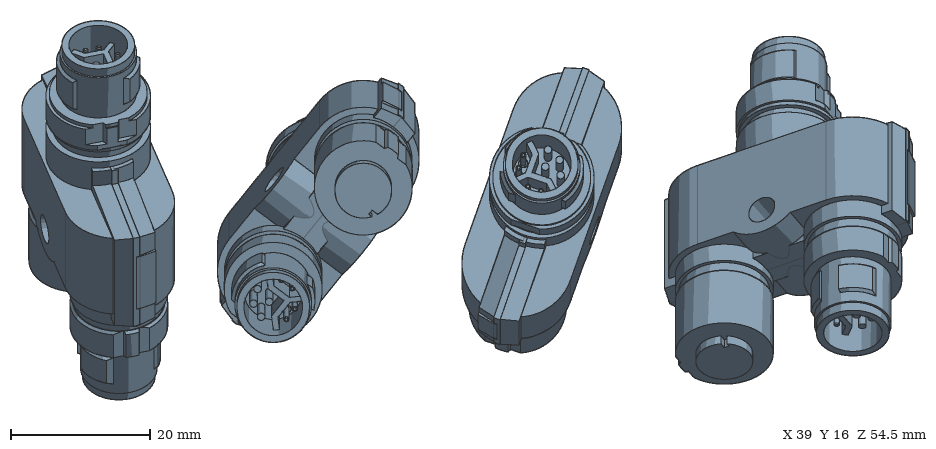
import cadquery as cq
import math

CONNECTOR_X = 10.5
HOUSING_HALF_DEPTH = 8.0
HOUSING_BOTTOM = 18.85
HOUSING_TOP = 33.35

HOLE_RADIUS = 2.1
HOLE_Z = 21.15
LOBE_RADIUS = 7.1
LOBE_BOTTOM = 17.1

FLANGE_HALF_DEPTH = 3.05
FLANGE_HALF_WIDTH = 19.45
FLANGE_BOTTOM = 17.0
FLANGE_END_Z = 33.95
FLANGE_ROOT_X = 7.35
FLANGE_ROOT_Z = 35.05
FLANGE_END_DRAFT = 0.8
FLANGE_EDGE_DRAFT = 0.3
COLLAR_RADIUS = 8.2
COLLAR_TOP = 37.6
COLLAR_TOP_RISE = 0.15
RIB_FRONT = -0.45
RIB_BACK = 0.55
RIB_RAISE = 0.1
RIB_COLLAR_REACH = 8.45
PAD_HALF_WIDTH = 19.5
PAD_BOTTOM = 20.4
PAD_TOP = 30.35
PAD_FALLBACK = 0.5

BOSS_RADIUS = 7.5
BOSS_TOP = 38.7
NECK_RADIUS = 6.55
UPPER_NUT_BOTTOM = 40.35
UPPER_NUT_TOP = 45.35
UPPER_NUT_RIM = 0.6
UPPER_RIM_RADIUS = 7.05
LOWER_RIM_RADIUS = 7.2
UPPER_NUT_FLAT = 7.2
UPPER_GROOVE_BOTTOM = 41.8

NUT_RADIUS = 7.05
RING_BOTTOM = 15.85
LOWER_NUT_TOP = 14.4
MALE_NUT_BOTTOM = 9.65
FEMALE_NUT_BOTTOM = 4.35
LOWER_NUT_CHAMFER = 0.4

GROOVE_FLOOR = 6.5
POINTER_TIP_HALF_WIDTH = 0.65
POINTER_ROOT_HALF_WIDTH = 1.2

INSERT_RADIUS = 4.1
INSERT_BOTTOM = 2.9
KEYWAY_X = 1.9
KEYWAY_WIDTH = 0.75
KEYWAY_DEPTH = 0.8

TOTAL_HEIGHT = 54.5
PLUG_RADIUS = 5.5
TIP_RADIUS = 5.25
TIP_LENGTH = 1.45
TAB_RADIUS = 6.0
TAB_SLOPE = 0.3
TAB_START = 0.75
SHORT_TAB_START = 1.35
TAB_END = 6.4
FRONT_TAB_X = (-3.55, 3.55)
BACK_LEFT_TAB_X = (-5.0, -2.45)
BACK_RIGHT_TAB_X = (0.9, 5.0)
BORE_RADIUS = 4.2
SOCKET_DEPTH = 8.7
SHIELD_DEPTH = 2.95
PIN_DEPTH = 3.3
POWER_PIN_RADIUS = 0.55
SIGNAL_PIN_RADIUS = 0.4
SIGNAL_RECESS_RADIUS = 0.65
SIGNAL_RECESS_DEPTH = 0.55
SIGNAL_PIN_CHAMFER = 0.15
POWER_PINS = [(0.41, -0.41), (2.9, 0.05), (2.0, -2.0), (-0.05, -2.9)]
SIGNAL_PINS = [(-1.0, 3.15), (1.0, 3.15), (-3.15, 1.0), (-3.15, -1.0)]

SHIELD_INNER = 1.1
SHIELD_OUTER = 1.95
POWER_WALL_END = 1.8
SIGNAL_WALL_HALF = 1.4
BEYOND = 10.9


def cylinder(radius, bottom, top, x=0.0, y=0.0):
    return cq.Workplane("XY", origin=(x, y, bottom)).circle(radius).extrude(top - bottom)


def box(x_range, y_range, z_range):
    size = [high - low for low, high in (x_range, y_range, z_range)]
    corner = (x_range[0], y_range[0], z_range[0])
    return cq.Workplane("XY").box(*size, centered=False).translate(corner)


def prism(points, bottom, top):
    return cq.Workplane("XY", origin=(0, 0, bottom)).polyline(points).close().extrude(top - bottom)



def housing():
    block = (
        cq.Workplane("XY", origin=(0, 0, HOUSING_BOTTOM))
        .slot2D(2 * (CONNECTOR_X + HOUSING_HALF_DEPTH), 2 * HOUSING_HALF_DEPTH)
        .extrude(HOUSING_TOP - HOUSING_BOTTOM)
    )
    lobe = (
        cq.Workplane("XZ", origin=(0, HOUSING_HALF_DEPTH, LOBE_BOTTOM + LOBE_RADIUS))
        .circle(LOBE_RADIUS)
        .extrude(2 * HOUSING_HALF_DEPTH)
    )
    return block.union(lobe)


def flange_outline(end_draft, edge_draft):
    """Corners of the wings' outline in X and Z, drawn in by the given drafts."""
    end_x = FLANGE_HALF_WIDTH - end_draft
    bottom = FLANGE_BOTTOM + edge_draft
    end_z = FLANGE_END_Z - edge_draft
    root_z = FLANGE_ROOT_Z - edge_draft
    return [
        (-end_x, bottom), (end_x, bottom), (end_x, end_z),
        (FLANGE_ROOT_X, root_z), (-FLANGE_ROOT_X, root_z), (-end_x, end_z),
    ]


def flange_half(side):
    """Wings from the parting plane to the face on one side: -1 is the front, +1 the back."""
    return (
        cq.Workplane("XZ")
        .polyline(flange_outline(0, 0)).close()
        .workplane(offset=-side * FLANGE_HALF_DEPTH)
        .polyline(flange_outline(FLANGE_END_DRAFT, FLANGE_EDGE_DRAFT)).close()
        .loft(ruled=True)
    )


def flange_collar():
    """Middle slice of a cylinder whose top slopes down from back to front."""
    slab = (
        cq.Workplane("YZ", origin=(-COLLAR_RADIUS, 0, 0))
        .polyline([
            (-FLANGE_HALF_DEPTH, HOUSING_BOTTOM), (FLANGE_HALF_DEPTH, HOUSING_BOTTOM),
            (FLANGE_HALF_DEPTH, COLLAR_TOP + COLLAR_TOP_RISE),
            (-FLANGE_HALF_DEPTH, COLLAR_TOP - COLLAR_TOP_RISE),
        ])
        .close()
        .extrude(2 * COLLAR_RADIUS)
    )
    return cylinder(COLLAR_RADIUS, HOUSING_BOTTOM, BOSS_TOP).intersect(slab)


def flange_rib():
    wings = (
        cq.Workplane("XZ", origin=(0, RIB_BACK, RIB_RAISE))
        .polyline(flange_outline(0, RIB_RAISE / 2)).close()
        .extrude(RIB_BACK - RIB_FRONT)
    )
    collar = box(
        (-RIB_COLLAR_REACH, RIB_COLLAR_REACH), (RIB_FRONT, RIB_BACK), (HOUSING_BOTTOM, COLLAR_TOP)
    )
    return wings.union(collar)


def flange_pads():
    rear_x = PAD_HALF_WIDTH - PAD_FALLBACK
    outline = [
        (-PAD_HALF_WIDTH, 0), (PAD_HALF_WIDTH, 0), (PAD_HALF_WIDTH, RIB_BACK),
        (rear_x, FLANGE_HALF_DEPTH), (-rear_x, FLANGE_HALF_DEPTH), (-PAD_HALF_WIDTH, RIB_BACK),
    ]
    return prism(outline, PAD_BOTTOM, PAD_TOP)



def pointer_grooves(side, bottom, top):
    """Cutters for the two grooves on the +X (side 1) or -X (side -1) flank of a nut."""
    outline = [
        (side * GROOVE_FLOOR, POINTER_ROOT_HALF_WIDTH),
        (side * BOSS_RADIUS, POINTER_TIP_HALF_WIDTH),
        (side * BEYOND, POINTER_TIP_HALF_WIDTH),
        (side * BEYOND, BEYOND),
        (side * GROOVE_FLOOR, BEYOND),
    ]
    groove = prism(outline, bottom, top)
    return groove.union(groove.mirror("XZ"))


def upper_nut():
    rim_bottom = UPPER_NUT_TOP - UPPER_NUT_RIM
    rim_top = UPPER_NUT_BOTTOM + UPPER_NUT_RIM
    nut = cylinder(BOSS_RADIUS, rim_top, rim_bottom)
    nut = nut.union(cylinder(UPPER_RIM_RADIUS, rim_bottom, UPPER_NUT_TOP))
    nut = nut.union(cylinder(LOWER_RIM_RADIUS, UPPER_NUT_BOTTOM, rim_top))
    between_flats = box(
        (-UPPER_NUT_FLAT, UPPER_NUT_FLAT), (-BEYOND, BEYOND), (UPPER_NUT_BOTTOM, UPPER_NUT_TOP)
    )
    return nut.intersect(between_flats).cut(pointer_grooves(1, UPPER_GROOVE_BOTTOM, UPPER_NUT_TOP))


def lower_nut(side, bottom):
    nut = cylinder(NUT_RADIUS, bottom, LOWER_NUT_TOP).faces(">Z").chamfer(LOWER_NUT_CHAMFER)
    nut = nut.cut(pointer_grooves(side, bottom, LOWER_NUT_TOP))
    neck = cylinder(NECK_RADIUS, LOWER_NUT_TOP, RING_BOTTOM)
    ring = cylinder(NUT_RADIUS, RING_BOTTOM, HOUSING_BOTTOM)
    return nut.union(neck).union(ring).translate((side * CONNECTOR_X, 0, 0))



def locking_tab(start, x_range, y_range):
    """Ring segment with sloped ends, bounded by planes parallel to Y."""
    ring = (
        cq.Workplane("XZ")
        .polyline([
            (BORE_RADIUS, start), (PLUG_RADIUS, start),
            (TAB_RADIUS, start + TAB_SLOPE), (TAB_RADIUS, TAB_END - TAB_SLOPE),
            (PLUG_RADIUS, TAB_END), (BORE_RADIUS, TAB_END),
        ])
        .close()
        .revolve(360, (0, 0, 0), (0, 1, 0))
    )
    return ring.intersect(box(x_range, y_range, (start, TAB_END)))


def locking_tabs():
    front = locking_tab(TAB_START, FRONT_TAB_X, (-BEYOND, 0))
    back_left = locking_tab(TAB_START, BACK_LEFT_TAB_X, (0, BEYOND))
    back_right = locking_tab(SHORT_TAB_START, BACK_RIGHT_TAB_X, (0, BEYOND))
    return front.union(back_left).union(back_right)


def contact_chambers(bottom, top):
    """Space around the shield: one L-shaped power chamber and two signal chambers."""
    power = [
        (-SHIELD_INNER, SHIELD_INNER),
        (POWER_WALL_END, SHIELD_INNER),
        (POWER_WALL_END + BEYOND, SHIELD_INNER + BEYOND),
        (BEYOND, -BEYOND),
        (-SHIELD_INNER - BEYOND, -POWER_WALL_END - BEYOND),
        (-SHIELD_INNER, -POWER_WALL_END),
    ]
    signal = [
        (-SIGNAL_WALL_HALF, SHIELD_OUTER),
        (SIGNAL_WALL_HALF, SHIELD_OUTER),
        (SIGNAL_WALL_HALF + BEYOND, SHIELD_OUTER + BEYOND),
        (-SIGNAL_WALL_HALF - BEYOND, SHIELD_OUTER + BEYOND),
    ]
    back = prism(signal, bottom, top)
    left = back.rotate((0, 0, 0), (0, 0, 1), 90)
    chambers = prism(power, bottom, top).union(back).union(left)
    return chambers.intersect(cylinder(BORE_RADIUS, bottom, top))


def male_plug(length):
    """Plug that rises from z = 0, the face of its nut, to its open tip."""
    floor = length - SOCKET_DEPTH
    pin_end = length - PIN_DEPTH
    plug = cylinder(PLUG_RADIUS, 0, length - TIP_LENGTH).union(cylinder(TIP_RADIUS, 0, length))
    plug = plug.union(locking_tabs())
    plug = plug.cut(cylinder(BORE_RADIUS, length - SHIELD_DEPTH, length))
    plug = plug.cut(contact_chambers(floor, length))
    for x, y in POWER_PINS:
        plug = plug.union(cylinder(POWER_PIN_RADIUS, floor, pin_end, x, y))
    recess_floor = floor - SIGNAL_RECESS_DEPTH
    for x, y in SIGNAL_PINS:
        pin = cylinder(SIGNAL_PIN_RADIUS, recess_floor, pin_end, x, y)
        plug = plug.cut(cylinder(SIGNAL_RECESS_RADIUS, recess_floor, floor, x, y))
        plug = plug.union(pin.faces(">Z").chamfer(SIGNAL_PIN_CHAMFER))
    return plug


def female_insert():
    insert = cylinder(INSERT_RADIUS, INSERT_BOTTOM, FEMALE_NUT_BOTTOM)
    rim_y = -math.sqrt(INSERT_RADIUS**2 - KEYWAY_X**2)
    keyway = box(
        (KEYWAY_X - KEYWAY_WIDTH / 2, KEYWAY_X + KEYWAY_WIDTH / 2),
        (-INSERT_RADIUS, rim_y + KEYWAY_DEPTH),
        (INSERT_BOTTOM, FEMALE_NUT_BOTTOM),
    )
    return insert.cut(keyway).translate((-CONNECTOR_X, 0, 0))


upper_plug = male_plug(TOTAL_HEIGHT - UPPER_NUT_TOP).translate((0, 0, UPPER_NUT_TOP))
lower_plug = (
    male_plug(MALE_NUT_BOTTOM)
    .rotate((0, 0, 0), (1, 0, 0), 180)
    .translate((CONNECTOR_X, 0, MALE_NUT_BOTTOM))
)
cross_hole = (
    cq.Workplane("XZ", origin=(0, HOUSING_HALF_DEPTH, HOLE_Z))
    .circle(HOLE_RADIUS)
    .extrude(2 * HOUSING_HALF_DEPTH)
)

result = housing()
for piece in (
    flange_half(-1), flange_half(1), flange_collar(), flange_rib(), flange_pads(),
    cylinder(BOSS_RADIUS, HOUSING_TOP, BOSS_TOP), cylinder(NECK_RADIUS, BOSS_TOP, UPPER_NUT_BOTTOM),
    upper_nut(), lower_nut(1, MALE_NUT_BOTTOM), lower_nut(-1, FEMALE_NUT_BOTTOM),
):
    result = result.union(piece)
result = result.cut(cross_hole)
result = result.union(upper_plug).union(lower_plug).union(female_insert())